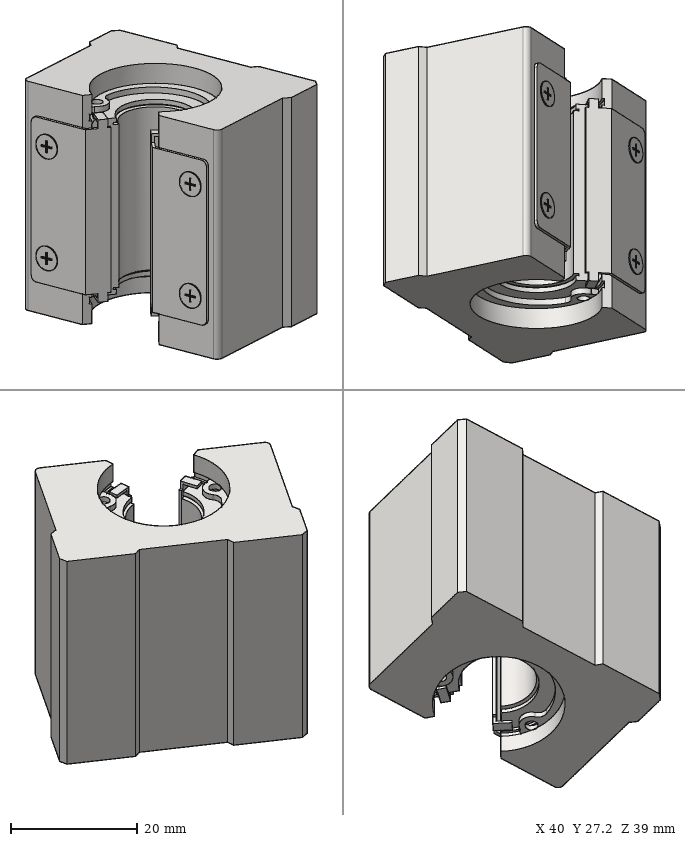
import cadquery as cq
import math


WIDTH = 40.0
HEIGHT = 39.0
MOUNT_Y = 17.0
HOUSING_DEPTH = 26.5
SLOT_FACE_Y = MOUNT_Y - HOUSING_DEPTH
STEP = 1.0
FLANGE_LEFT = 7.0
FLANGE_RIGHT = 8.0
RELIEF_HALF_WIDTH = 7.9
RELIEF_RUN = 0.8
CORNER_RADIUS = 0.95
BORE_RADIUS = 21.0 / 2
HOUSING_SLOT_ANGLE = 38.2

BUSHING_LENGTH = 30.0
SHAFT_RADIUS = 6.0
MOUTH_RADIUS = 6.4
MOUTH_DEPTH = 0.8
UNDERCUT_RADIUS = 6.9
UNDERCUT_WIDTH = 0.3
LEAD_IN = 0.5
LEAD_IN_LENGTH = 0.9
SLOT_ANGLE = 40.0

RING_THICKNESS = 1.0
RING_CLEARANCE = 0.1
GROOVE_RADIUS = 10.9
RING_INNER_RADIUS = 9.35
RING_INNER_SHIFT = 0.65
LUG_DIAMETER = 4.0
LUG_HOLE_DIAMETER = 2.0
LUG_X = 9.0
LUG_Y = -3.4
LUG_BLEND = 1.6
RING_END_ANGLE = 56.0

PLATE_HEIGHT = 28.1
PLATE_THICKNESS = 0.5
PLATE_OUTER_X = 17.05
PLATE_CORNER = 1.0
LIP_OFFSET = 1.45
LIP_TIP = 7.7
TAB_INNER = 8.15
TAB_OUTER = 9.75
TAB_REACH = 1.6
SCREW_X = 13.95
SCREW_Z = 19.0 / 2
SCREW_HEAD_DIAMETER = 4.1
SCREW_HEAD_HEIGHT = 0.2
CROSS_LENGTH = 2.0
CROSS_WIDTH = 0.25

SIDES = (-1, 1)
GROOVE_Z = BUSHING_LENGTH / 2
RING_Z = GROOVE_Z + RING_CLEARANCE
REACH = 2 * WIDTH


def cylinder(radius, z_low, height):
    """Return a cylinder around the shaft axis."""
    return cq.Workplane("XY").workplane(offset=z_low).circle(radius).extrude(height)


def slot_wedge(half_angle):
    """Return a wedge from the axis that opens towards -Y."""
    half_width = REACH * math.tan(math.radians(half_angle))
    return (
        cq.Workplane("XY")
        .polyline([(0, 0), (-half_width, -REACH), (half_width, -REACH)])
        .close()
        .extrude(REACH / 2, both=True)
    )


def along_slot(distance, offset):
    """Return the XY point at a distance along the left bushing slot face and an offset in front of it."""
    angle = math.radians(SLOT_ANGLE)
    x = -distance * math.sin(angle) + offset * math.cos(angle)
    y = -distance * math.cos(angle) - offset * math.sin(angle)
    return (x, y)


def lip_point(offset, y):
    """Return the XY point with a given y on the line parallel to the left bushing slot face."""
    angle = math.radians(SLOT_ANGLE)
    distance = (-y - offset * math.sin(angle)) / math.cos(angle)
    return along_slot(distance, offset)


def make_housing():
    flange_x = WIDTH / 2
    body_x = flange_x - STEP
    relief_y = MOUNT_Y - STEP
    relief_floor_x = RELIEF_HALF_WIDTH - RELIEF_RUN
    left_y = MOUNT_Y - FLANGE_LEFT
    right_y = MOUNT_Y - FLANGE_RIGHT
    outline = [
        (-body_x, SLOT_FACE_Y),
        (-body_x, left_y - STEP),
        (-flange_x, left_y),
        (-flange_x, MOUNT_Y - STEP),
        (-body_x, MOUNT_Y),
        (-RELIEF_HALF_WIDTH, MOUNT_Y),
        (-relief_floor_x, relief_y),
        (relief_floor_x, relief_y),
        (RELIEF_HALF_WIDTH, MOUNT_Y),
        (body_x, MOUNT_Y),
        (flange_x, MOUNT_Y - STEP),
        (flange_x, right_y),
        (body_x, right_y - STEP),
        (body_x, SLOT_FACE_Y),
    ]
    housing = cq.Workplane("XY").polyline(outline).close().extrude(HEIGHT / 2, both=True)
    housing = housing.edges("|Z and <Y").fillet(CORNER_RADIUS)
    housing = housing.cut(slot_wedge(HOUSING_SLOT_ANGLE))
    housing = housing.cut(cylinder(BORE_RADIUS, -HEIGHT / 2, HEIGHT))
    groove = cylinder(GROOVE_RADIUS, GROOVE_Z, RING_CLEARANCE + RING_THICKNESS)
    return housing.cut(groove).cut(groove.mirror("XY"))


def make_bushing():
    half = BUSHING_LENGTH / 2
    undercut_top = half - MOUTH_DEPTH
    undercut_floor = undercut_top - UNDERCUT_WIDTH
    upper_profile = [
        (SHAFT_RADIUS, undercut_floor),
        (UNDERCUT_RADIUS, undercut_floor),
        (UNDERCUT_RADIUS, undercut_top),
        (MOUTH_RADIUS, undercut_top),
        (MOUTH_RADIUS, half),
        (BORE_RADIUS - LEAD_IN, half),
        (BORE_RADIUS, half - LEAD_IN_LENGTH),
    ]
    lower_profile = [(radius, -z) for radius, z in reversed(upper_profile)]
    bushing = cq.Workplane("XZ").polyline(upper_profile + lower_profile).close().revolve(360, (0, 0), (0, 1))
    return bushing.cut(slot_wedge(SLOT_ANGLE))


def make_top_ring():
    ring = cylinder(GROOVE_RADIUS, RING_Z, RING_THICKNESS)
    plane = cq.Workplane("XY").workplane(offset=RING_Z)
    opening = plane.center(0, -RING_INNER_SHIFT).circle(RING_INNER_RADIUS).extrude(RING_THICKNESS)
    ring = ring.cut(opening).cut(slot_wedge(RING_END_ANGLE))
    lug_centres = [(side * LUG_X, LUG_Y) for side in SIDES]
    lugs = plane.pushPoints(lug_centres).circle(LUG_DIAMETER / 2).extrude(RING_THICKNESS)
    lugs = lugs.intersect(cylinder(GROOVE_RADIUS, RING_Z, RING_THICKNESS))
    ring = ring.union(lugs)
    for side in SIDES:
        corner = (side * RING_INNER_RADIUS, LUG_Y + LUG_DIAMETER / 2, RING_Z + RING_THICKNESS / 2)
        ring = ring.edges(cq.NearestToPointSelector(corner)).fillet(LUG_BLEND)
    holes = plane.pushPoints(lug_centres).circle(LUG_HOLE_DIAMETER / 2).extrude(RING_THICKNESS)
    return ring.cut(holes)


def make_screw_head(z):
    """Return a left screw head with its cross recess."""
    face = cq.Workplane("XZ", origin=(-SCREW_X, SLOT_FACE_Y - PLATE_THICKNESS, z))
    head = face.circle(SCREW_HEAD_DIAMETER / 2).extrude(SCREW_HEAD_HEIGHT)
    head = head.cut(face.rect(CROSS_LENGTH, CROSS_WIDTH).extrude(SCREW_HEAD_HEIGHT))
    return head.cut(face.rect(CROSS_WIDTH, CROSS_LENGTH).extrude(SCREW_HEAD_HEIGHT))


def make_top_tab():
    """Return the tab that rises from the left lip and hooks over the bushing end."""
    inner_offset = LIP_OFFSET - PLATE_THICKNESS
    tab_top = BUSHING_LENGTH / 2 + PLATE_THICKNESS

    def block(back_offset, z_low):
        corners = [
            along_slot(TAB_INNER, back_offset),
            along_slot(TAB_INNER, LIP_OFFSET),
            along_slot(TAB_OUTER, LIP_OFFSET),
            along_slot(TAB_OUTER, back_offset),
        ]
        return cq.Workplane("XY").workplane(offset=z_low).polyline(corners).close().extrude(tab_top - z_low)

    return block(inner_offset, 0).union(block(-TAB_REACH, BUSHING_LENGTH / 2))


def make_left_plate():
    inner_offset = LIP_OFFSET - PLATE_THICKNESS
    outer_y = SLOT_FACE_Y - PLATE_THICKNESS
    profile = [
        (-PLATE_OUTER_X, SLOT_FACE_Y),
        (-PLATE_OUTER_X, outer_y),
        lip_point(LIP_OFFSET, outer_y),
        along_slot(LIP_TIP, LIP_OFFSET),
        along_slot(LIP_TIP, inner_offset),
        lip_point(inner_offset, SLOT_FACE_Y),
    ]
    plate = cq.Workplane("XY").polyline(profile).close().extrude(PLATE_HEIGHT / 2, both=True)
    plate = plate.faces("<X").edges("|Y").fillet(PLATE_CORNER)
    tab = make_top_tab()
    plate = plate.union(tab).union(tab.mirror("XY"))
    for z in (-SCREW_Z, SCREW_Z):
        plate = plate.union(make_screw_head(z))
    return plate


housing = make_housing()
bushing = make_bushing()
top_ring = make_top_ring()
rings = [top_ring, top_ring.mirror("XY")]
left_plate = make_left_plate()
plates = [left_plate, left_plate.mirror("YZ")]

bodies = [housing, bushing, *rings, *plates]
result = cq.Compound.makeCompound([body.solids().val() for body in bodies])